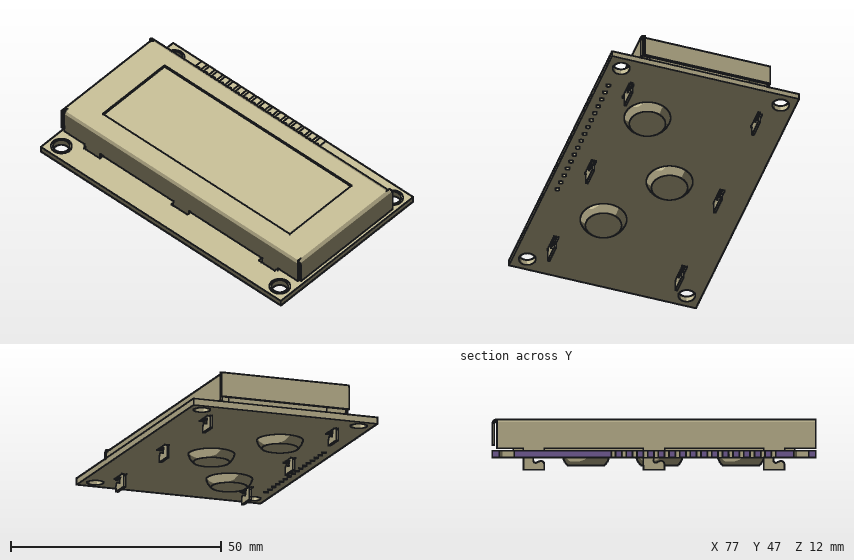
import cadquery as cq


board_length = 77.0
board_width = 47.0
board_thickness = 1.6
mount_x = 35.0
mount_y = 20.0
mount_diameter = 4.0

copper_thickness = 0.04
mount_ring_diameter = 5.0
pad_count = 16
pad_pitch = 2.55
pad_width = 1.8
pad_hole_diameter = 1.0
pad_middle_x = -9.4
pad_hole_inset = 2.5
pad_hole_y = board_width / 2 - pad_hole_inset

dome_base_radius = 5.55
dome_tip_radius = 4.3
dome_height = 1.9
dome_bulge_radius = 5.15
dome_bulge_height = 0.9
dome_centers = [(-20.7, 8.6), (-1.3, -3.5), (16.2, 7.2)]

bezel_length = board_length
bezel_width = 32.6
bezel_top = 7.5
sheet = 0.5
bend_radius = 1.1
end_flange_bottom = 1.3
side_flange_bottom = 0.58
window_length = 60.05
window_width = 21.95
window_y = 0.1

tab_pitch = 28.6
tab_width = 5.0
tab_neck_width = 2.4
tab_drop = 2.9
tab_bottom = -board_thickness - tab_drop

neck_height = 0.6
notch_bottom_inset = 0.4
notch_depth = 1.2
notch_floor_inset = 0.9
notch_floor_depth = 1.1
barb_tip_inset = 0.9
barb_gap = 0.8
barb_shoulder_inset = 0.3
barb_shoulder_depth = 1.0
barb_side_depth = 1.6

slot_pitch = 28.0
slot_length = 5.15
slot_width = 1.2
slot_shift_y = -0.19
slot_y = 16.13

glass_length = 67.1
glass_width = 25.0
glass_y = -0.115

tab_positions = [step * tab_pitch for step in (-1, 0, 1)]
slot_positions = [step * slot_pitch for step in (-1, 0, 1)]


def block(x_range, y_range, z_range):
    """Axis-aligned box between the given limits."""
    lows, highs = zip(x_range, y_range, z_range)
    sizes = [high - low for low, high in zip(lows, highs)]
    return cq.Workplane("XY").box(*sizes, centered=False).translate(lows)



def flange(start, end, bottom):
    """Bent strip along X from start to end, its outer face on y = 0 facing -Y."""
    bend_z = bezel_top - bend_radius
    inner_radius = bend_radius - sheet
    arc_share = 1 - 0.5 ** 0.5
    outer_middle = (bend_radius * arc_share, bezel_top - bend_radius * arc_share)
    inner_middle = (sheet + inner_radius * arc_share, bezel_top - sheet - inner_radius * arc_share)
    return (
        cq.Workplane("YZ", origin=(start, 0, 0))
        .moveTo(0, bottom)
        .lineTo(0, bend_z)
        .threePointArc(outer_middle, (bend_radius, bezel_top))
        .lineTo(bend_radius, bezel_top - sheet)
        .threePointArc(inner_middle, (sheet, bend_z))
        .lineTo(sheet, bottom)
        .close()
        .extrude(end - start)
    )


def tab(center_x, outer_y):
    """Tab through the board, notched under it to leave a neck on the right and a barb on the left."""
    left = center_x - tab_width / 2
    right = center_x + tab_width / 2
    neck = right - tab_neck_width
    under = -board_thickness
    return (
        cq.Workplane("XZ", origin=(0, outer_y + sheet, 0))
        .moveTo(left, tab_bottom)
        .lineTo(right, tab_bottom)
        .lineTo(right, side_flange_bottom)
        .lineTo(left, side_flange_bottom)
        .lineTo(left, under)
        .lineTo(neck, under)
        .lineTo(neck, under - neck_height)
        .threePointArc(
            (neck - notch_bottom_inset, under - notch_depth),
            (neck - notch_floor_inset, under - notch_floor_depth),
        )
        .lineTo(left + barb_tip_inset, under - barb_gap)
        .threePointArc(
            (left + barb_shoulder_inset, under - barb_shoulder_depth),
            (left, under - barb_side_depth),
        )
        .close()
        .extrude(sheet)
    )


def make_bezel():
    half_x = bezel_length / 2
    half_y = bezel_width / 2
    plate_x = half_x - bend_radius
    plate_y = half_y - bend_radius
    bezel = block((-plate_x, plate_x), (-plate_y, plate_y), (bezel_top - sheet, bezel_top))

    front = flange(-plate_x, plate_x, side_flange_bottom).translate((0, -half_y, 0))
    back = flange(-plate_x, half_x, side_flange_bottom).translate((0, -half_y, 0))
    right = flange(-half_y, half_y, end_flange_bottom).translate((0, -half_x, 0))
    left = flange(-plate_y, half_y, end_flange_bottom).translate((0, -half_x, 0))
    for strip, angle in ((front, 0), (right, 90), (back, 180), (left, -90)):
        bezel = bezel.union(strip.rotate((0, 0, 0), (0, 0, 1), angle))

    for x in tab_positions:
        bezel = bezel.union(tab(x, -half_y))
        bezel = bezel.union(tab(x, half_y - sheet))

    window = cq.Workplane("XY").box(window_length, window_width, 2 * bezel_top)
    return bezel.cut(window.translate((0, window_y, bezel_top)))



def board_underside():
    """Fresh workplane on the underside of the board, facing up."""
    return cq.Workplane("XY", origin=(0, 0, -board_thickness))


def make_pad(x):
    """Round-ended solder pad running to the back edge of the board."""
    half_width = pad_width / 2
    return (
        cq.Workplane("XY")
        .moveTo(x - half_width, board_width / 2)
        .lineTo(x - half_width, pad_hole_y)
        .threePointArc((x, pad_hole_y - half_width), (x + half_width, pad_hole_y))
        .lineTo(x + half_width, board_width / 2)
        .close()
        .extrude(copper_thickness)
    )


def make_dome(x, y):
    """Flattened resin dome hanging under the board."""
    return (
        cq.Workplane("XZ")
        .lineTo(dome_base_radius, 0)
        .threePointArc((dome_bulge_radius, -dome_bulge_height), (dome_tip_radius, -dome_height))
        .lineTo(0, -dome_height)
        .close()
        .revolve(360, (0, 0, 0), (0, 1, 0))
        .translate((x, y, -board_thickness))
    )


def make_board():
    board = block(
        (-board_length / 2, board_length / 2),
        (-board_width / 2, board_width / 2),
        (-board_thickness, 0),
    )
    mount_points = [(x, y) for x in (-mount_x, mount_x) for y in (-mount_y, mount_y)]
    first_pad_x = pad_middle_x - pad_pitch * (pad_count - 1) / 2
    pad_positions = [first_pad_x + i * pad_pitch for i in range(pad_count)]

    rings = cq.Workplane("XY").pushPoints(mount_points).circle(mount_ring_diameter / 2)
    board = board.union(rings.extrude(copper_thickness))
    for x in pad_positions:
        board = board.union(make_pad(x))
    for x, y in dome_centers:
        board = board.union(make_dome(x, y))

    mount_holes = board_underside().pushPoints(mount_points).circle(mount_diameter / 2)
    pad_points = [(x, pad_hole_y) for x in pad_positions]
    pad_holes = board_underside().pushPoints(pad_points).circle(pad_hole_diameter / 2)
    slot_points = [(x, side * slot_y + slot_shift_y) for x in slot_positions for side in (-1, 1)]
    slots = board_underside().pushPoints(slot_points).rect(slot_length, slot_width)

    passage_y = (bezel_width - sheet) / 2
    passage_points = [(x, side * passage_y) for x in tab_positions for side in (-1, 1)]
    passages = board_underside().pushPoints(passage_points).rect(tab_width, sheet)
    for opening in (mount_holes, pad_holes, slots, passages):
        board = board.cut(opening.extrude(board_thickness + copper_thickness))
    return board



def make_glass():
    """Display block standing on the board and closing the window from below."""
    return block(
        (-glass_length / 2, glass_length / 2),
        (glass_y - glass_width / 2, glass_y + glass_width / 2),
        (0, bezel_top - sheet),
    )


bezel = make_bezel()
board = make_board()
glass = make_glass()

result = cq.Compound.makeCompound([bezel.val(), board.val(), glass.val()])